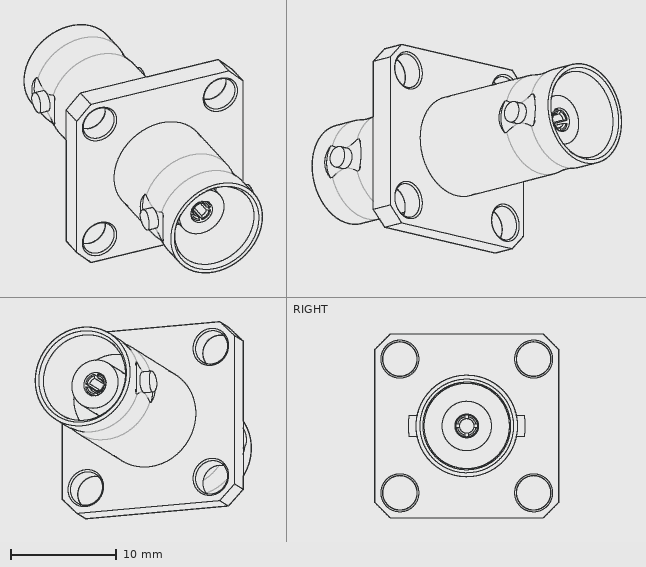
import cadquery as cq
import math

body_length = 32.5
body_radius = 4.825
half_length = body_length / 2

flange_size = 17.5
flange_thickness = 2.35
flange_inset = 17.6
flange_start = -half_length + flange_inset
flange_corner_chamfer = 1.5
hole_spacing = 12.7
hole_diameter = 3.25
hole_edge_chamfer = 0.18

pin_inset = 4.25
pin_radius = 1.0
pin_tip_radius = 5.55
groove_width = 3.4
groove_depth = 0.15
spotface_radius = 2.5
spotface_distance = 4.57

mouth_radius = 4.45
mouth_chamfer_depth = 0.5
bore_entry_radius = 4.17
bore_floor_radius = 4.05
bore_depth = 8.3

insulator_radius = 2.35
insulator_inset = 3.3
insulator_hole_radius = 1.13

contact_radius = 1.03
contact_recess = 0.2
contact_bore_radius = 0.69
contact_bore_entry_radius = 0.88
contact_bore_depth = 3.5
contact_drill_angle = 118
slot_width = 0.33
slot_depth = 3.0
contact_length = 3.5


def revolve_profile(points):
    """Turn a profile of (axial, radial) points about the X axis."""
    return cq.Workplane("XY").polyline(points).close().revolve(360, (0, 0, 0), (1, 0, 0))


def cylinder_x(radius, start, length):
    """Cylinder along X from a start position."""
    return cq.Workplane("YZ", origin=(start, 0, 0)).circle(radius).extrude(length)


def make_flange():
    flange = (
        cq.Workplane("YZ", origin=(flange_start, 0, 0))
        .rect(flange_size, flange_size)
        .extrude(flange_thickness)
        .edges("|X")
        .chamfer(flange_corner_chamfer)
    )
    holes = (
        cq.Workplane("YZ", origin=(flange_start, 0, 0))
        .rect(hole_spacing, hole_spacing, forConstruction=True)
        .vertices()
        .circle(hole_diameter / 2)
        .extrude(flange_thickness)
    )
    return flange.cut(holes).edges("%CIRCLE").chamfer(hole_edge_chamfer)


def make_groove():
    """Shallow ring with an arc-shaped floor, cut around the left end."""
    centre = -half_length + pin_inset
    clear_radius = 2 * body_radius
    start = centre - groove_width / 2
    end = centre + groove_width / 2
    return (
        cq.Workplane("XY")
        .moveTo(start, clear_radius)
        .lineTo(start, body_radius)
        .threePointArc((centre, body_radius - groove_depth), (end, body_radius))
        .lineTo(end, clear_radius)
        .close()
        .revolve(360, (0, 0, 0), (1, 0, 0))
    )


def make_spotface(side):
    """Flat round cut facing -Y (side = -1) or +Y (side = 1)."""
    spot = cq.Workplane("XZ", origin=(-half_length + pin_inset, side * spotface_distance, 0))
    return spot.circle(spotface_radius).extrude(-side * body_radius)


def make_pins():
    """One bar across the barrel; its rounded tips are the pins and the socket clears its middle."""
    centre = -half_length + pin_inset
    bar = (
        cq.Workplane("XZ", origin=(centre, 0, 0))
        .circle(pin_radius)
        .extrude(2 * pin_tip_radius, both=True)
    )
    tips = cylinder_x(pin_tip_radius, centre - 2 * pin_radius, 4 * pin_radius)
    return bar.intersect(tips)


def make_socket():
    """Empty space of the left socket, around the insulator."""
    mouth = -half_length
    floor = mouth + bore_depth
    face = mouth + insulator_inset
    return revolve_profile([
        (mouth, 0),
        (mouth, mouth_radius),
        (mouth + mouth_chamfer_depth, bore_entry_radius),
        (floor, bore_floor_radius),
        (floor, insulator_radius),
        (face, insulator_radius),
        (face, 0),
    ])


def make_contact_space():
    """Empty space around and inside the left contact."""
    face = -half_length + insulator_inset
    tip = face + contact_recess
    entry_end = tip + contact_bore_entry_radius - contact_bore_radius
    bore_end = tip + contact_bore_depth
    drill_point = bore_end + contact_bore_radius / math.tan(math.radians(contact_drill_angle / 2))

    contact_bore = revolve_profile([
        (tip, 0),
        (tip, contact_bore_entry_radius),
        (entry_end, contact_bore_radius),
        (bore_end, contact_bore_radius),
        (drill_point, 0),
    ])
    hole = cylinder_x(insulator_hole_radius, face, contact_recess + contact_length)
    contact = cylinder_x(contact_radius, tip, contact_length)
    slot_span = 2 * contact_radius
    for width, height in ((slot_width, slot_span), (slot_span, slot_width)):
        slot = cq.Workplane("YZ", origin=(tip, 0, 0)).rect(width, height).extrude(slot_depth)
        contact = contact.cut(slot)
    return hole.cut(contact).union(contact_bore)


def add_at_both_ends(body, feature):
    return body.union(feature).union(feature.mirror("YZ"))


def cut_at_both_ends(body, feature):
    return body.cut(feature).cut(feature.mirror("YZ"))


barrel = cylinder_x(body_radius, -half_length, body_length)
barrel = cut_at_both_ends(barrel, make_groove())
for side in (-1, 1):
    barrel = cut_at_both_ends(barrel, make_spotface(side))
barrel = add_at_both_ends(barrel, make_pins())
barrel = cut_at_both_ends(barrel, make_socket())
barrel = cut_at_both_ends(barrel, make_contact_space())

result = barrel.union(make_flange())